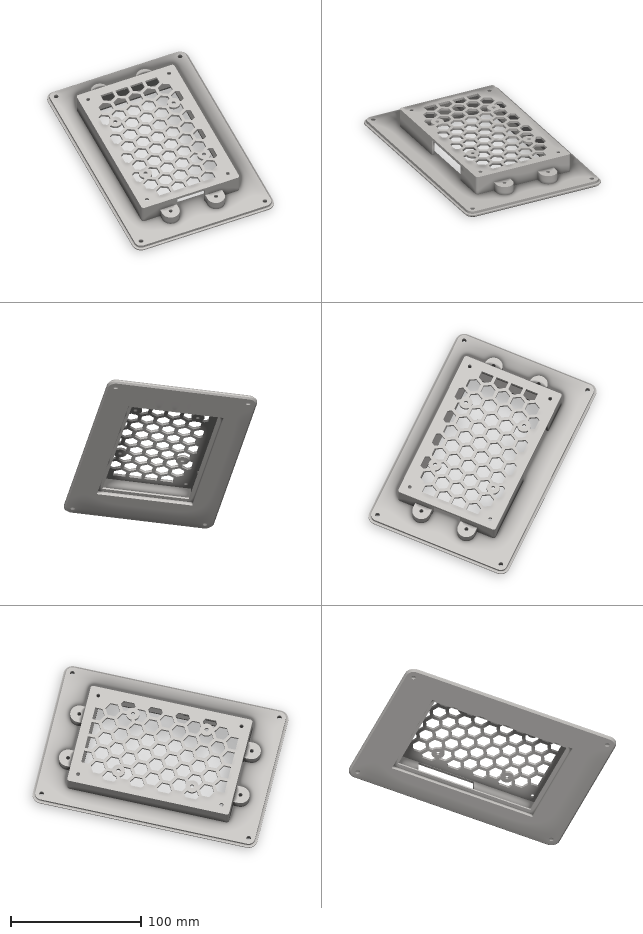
import cadquery as cq
import math

plate_length = 177.1
plate_width = 117.6
plate_corner_radius = 7.0
plate_thickness = 4.5
flange_thickness = 2.3
flange_chamfer = 1.2
step_inset = 2.0
window_length = 111.5
window_width = 68.0
lip = 1.5
recess_margin = 3.5
mount_hole_diameter = 3.5
mount_hole_x = 81.6
mount_hole_y = 51.9

total_height = 19.5
housing_length = 127.5
housing_width = 81.8
housing_corner_radius = 2.0
housing_center_y = -2.1
wall = 2.0
corner_hole_diameter = 3.0

grille_thickness = 2.0
grille_length = 113.0
grille_width = 67.7
hex_across_flats = 10.0
hex_rib = 2.5
side_columns = 5
even_column_rows = 5
odd_column_rows = 6
end_column_rows = 4

boss_diameter = 10.1
boss_hole_diameter = 3.0
boss_x = 29.0
boss_y = 24.5
boss_center_x = 2.0
boss_center_y = 0.5

ear_diameter = 14.0
ear_height = 7.0
ear_x = 68.0
ear_spacing = 37.9
ear_hole_diameter = 3.0

notch_height = 12.8
end_notch_width = 23.2
side_notch_start = -37.2
side_notch_end = 9.4

housing_height = total_height - plate_thickness
cavity_height = housing_height - grille_thickness
hex_row_pitch = hex_across_flats + hex_rib
hex_column_pitch = hex_row_pitch * math.sqrt(3) / 2
hex_across_corners = hex_across_flats * 2 / math.sqrt(3)


def four_corners(x, y, center_x=0.0, center_y=0.0):
    """Four points mirrored about a centre."""
    return [(center_x + sx * x, center_y + sy * y) for sx in (-1, 1) for sy in (-1, 1)]


def block(length, width, height, center=(0.0, 0.0), bottom=0.0):
    """A plain upright block, centred in X and Y."""
    return cq.Workplane("XY", origin=(*center, bottom)).rect(length, width).extrude(height)


def rounded_block(length, width, height, radius, bottom=0.0):
    return block(length, width, height, bottom=bottom).edges("|Z").fillet(radius)


def cylinders(points, diameter, height, bottom=0.0):
    return (
        cq.Workplane("XY", origin=(0, 0, bottom))
        .pushPoints(points)
        .circle(diameter / 2)
        .extrude(height)
    )


def make_faceplate():
    flange = rounded_block(plate_length, plate_width, flange_thickness, plate_corner_radius)
    flange = flange.faces("<Z").chamfer(flange_chamfer)
    step = rounded_block(
        plate_length - 2 * step_inset,
        plate_width - 2 * step_inset,
        plate_thickness - flange_thickness,
        plate_corner_radius - step_inset,
        bottom=flange_thickness,
    )
    window = block(window_length, window_width, plate_thickness)
    recess = block(
        window_length + 2 * recess_margin,
        window_width + 2 * recess_margin,
        plate_thickness - lip,
    )
    mount_holes = cylinders(
        four_corners(mount_hole_x, mount_hole_y), mount_hole_diameter, plate_thickness
    )
    return flange.union(step).cut(window).cut(recess).cut(mount_holes)


def rows_in_column(column):
    if abs(column) == side_columns:
        return end_column_rows
    return odd_column_rows if column % 2 else even_column_rows


def hex_centers():
    """Centres of the honeycomb openings, with every column centred on Y = 0."""
    centers = []
    for column in range(-side_columns, side_columns + 1):
        rows = rows_in_column(column)
        for row in range(rows):
            y = (row - (rows - 1) / 2) * hex_row_pitch
            centers.append((column * hex_column_pitch, y))
    return centers


def make_grille_openings():
    """The hexagons, trimmed to the grille rectangle and leaving the bosses solid."""
    hexagons = (
        cq.Workplane("XY", origin=(0, 0, cavity_height))
        .pushPoints(hex_centers())
        .polygon(6, hex_across_corners)
        .extrude(grille_thickness)
    )
    limits = block(grille_length, grille_width, housing_height)
    bosses = cylinders(boss_points(), boss_diameter, housing_height)
    return hexagons.intersect(limits).cut(bosses)


def boss_points():
    return four_corners(boss_x, boss_y, boss_center_x, boss_center_y)


def make_ears():
    """Round ears, each joined to the housing wall by a straight neck of the same width."""
    points = four_corners(ear_x, ear_spacing / 2)
    ears = cylinders(points, ear_diameter, ear_height)
    neck_start = housing_length / 2 - wall
    neck_length = ear_x - neck_start
    for x, y in points:
        neck_x = math.copysign(neck_start + neck_length / 2, x)
        ears = ears.union(block(neck_length, ear_diameter, ear_height, center=(neck_x, y)))
    return ears


def make_notches():
    end_notch = block(
        4 * wall, end_notch_width, notch_height, center=(housing_length / 2, 0)
    )
    side_notch = block(
        side_notch_end - side_notch_start,
        4 * wall,
        notch_height,
        center=((side_notch_start + side_notch_end) / 2, housing_width / 2),
    )
    return end_notch.union(side_notch)


def make_housing():
    body = rounded_block(housing_length, housing_width, housing_height, housing_corner_radius)
    body = body.union(make_ears())
    cavity = block(housing_length - 2 * wall, housing_width - 2 * wall, cavity_height)
    body = body.cut(cavity).cut(make_notches()).cut(make_grille_openings())

    corner_points = four_corners(grille_length / 2, grille_width / 2)
    ear_points = four_corners(ear_x, ear_spacing / 2)
    body = body.cut(cylinders(corner_points, corner_hole_diameter, housing_height))
    body = body.cut(cylinders(boss_points(), boss_hole_diameter, housing_height))
    body = body.cut(cylinders(ear_points, ear_hole_diameter, ear_height))
    return body.translate((0, housing_center_y, plate_thickness))


faceplate = make_faceplate()
housing = make_housing()
result = cq.Compound.makeCompound([faceplate.val(), housing.val()])